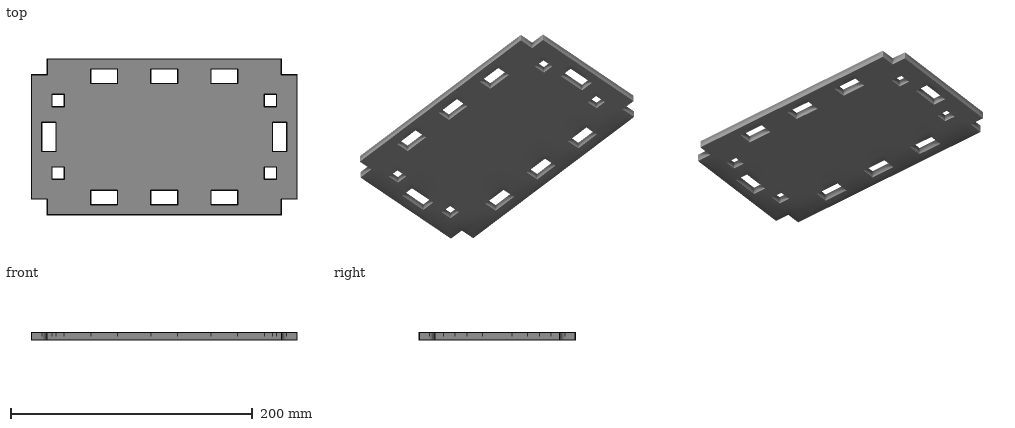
import cadquery as cq

plate_length = 219.5
plate_width = 129.0
plate_thickness = 6.5
corner_notch = 13.0

slot_depth = 11.75
slot_edge_gap = 8.5
long_edge_slot_length = 22.0
long_edge_slot_count = 3
long_edge_slot_pitch = 49.75
short_edge_slot_length = 24.0

square_hole_size = 10.0
square_hole_spacing_x = 175.5
square_hole_spacing_y = 60.0

slot_inset = slot_edge_gap + slot_depth / 2


def centred_block(length, width):
    """Block of full plate thickness standing on Z = 0."""
    return cq.Workplane("XY").rect(length, width).extrude(plate_thickness)


def make_plate():
    """Plate with a square notch in each corner, as two crossing blocks."""
    long_block = centred_block(plate_length, plate_width - 2 * corner_notch)
    wide_block = centred_block(plate_length - 2 * corner_notch, plate_width)
    return long_block.union(wide_block)


def cut_openings(body, length, width, centres):
    """Cut the same rectangular through opening at every centre."""
    return body.cut(
        cq.Workplane("XY").pushPoints(centres).rect(length, width).extrude(plate_thickness)
    )


def cut_long_edge_slots(body):
    """Row of slots along the front and back edges."""
    row_y = plate_width / 2 - slot_inset
    first_x = -long_edge_slot_pitch * (long_edge_slot_count - 1) / 2
    centres = [
        (first_x + index * long_edge_slot_pitch, y)
        for index in range(long_edge_slot_count)
        for y in (-row_y, row_y)
    ]
    return cut_openings(body, long_edge_slot_length, slot_depth, centres)


def cut_short_edge_slots(body):
    """One slot in the middle of the left and right edges."""
    slot_x = plate_length / 2 - slot_inset
    centres = [(-slot_x, 0), (slot_x, 0)]
    return cut_openings(body, slot_depth, short_edge_slot_length, centres)


def cut_square_holes(body):
    """Four square holes, beside the ends of the short-edge slots."""
    hole_x = square_hole_spacing_x / 2
    hole_y = square_hole_spacing_y / 2
    centres = [(x, y) for x in (-hole_x, hole_x) for y in (-hole_y, hole_y)]
    return cut_openings(body, square_hole_size, square_hole_size, centres)


result = make_plate()
result = cut_long_edge_slots(result)
result = cut_short_edge_slots(result)
result = cut_square_holes(result)